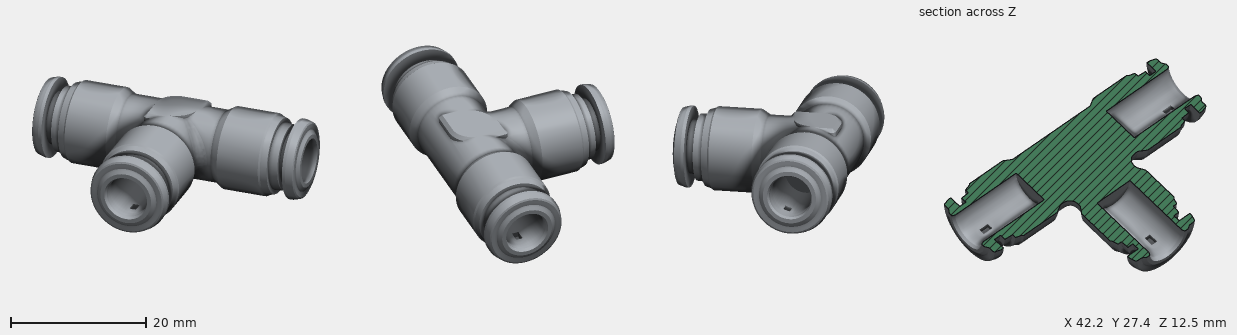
import cadquery as cq
import math

arm_length = 21.1
tube_radius = 5.5
junction_fillet = 1.48

body_radius = 6.25
shoulder_start = 7.5
shoulder_end = 8.78
body_end = 15.28

cap_bevel_end = 15.55
cap_root_radius = 6.05
cap_tip_radius = 5.75
cap_end = 16.5

guide_root_radius = 5.05
guide_tip_radius = 5.0
guide_straight_end = 16.65
guide_end = 17.9

neck_radius = 4.0
flange_start = 19.05
flange_straight_end = 19.55
flange_taper_end = 20.55
flange_end = 20.68
flange_radius = 6.08
flange_tip_radius = 5.8
flange_face_radius = 5.53
lip_root_radius = 4.7
lip_tip_radius = neck_radius

bore_radius = 3.15
mouth_radius = 3.38
mouth_depth = 0.5
bore_floor = shoulder_end

slit_width = 1.0
slit_start = cap_end
slit_end = 18.15
sleeve_turn = 18.5

pad_top = tube_radius
pad_radius = 3.55
pad_reach = 4.47
pad_chamfer = 0.5
pad_corner_radius = 0.55

select_margin = 0.05

full_turn = 360


def revolve_about_x(points):
    """Solid of revolution from (station, radius) points."""
    return cq.Workplane("XY").polyline(points).close().revolve(full_turn, (0, 0, 0), (1, 0, 0))


def make_fitting():
    """Outside of one arm's end fitting, along +X."""
    return revolve_about_x([
        (shoulder_start, 0),
        (shoulder_start, tube_radius),
        (shoulder_end, body_radius),
        (body_end, body_radius),
        (cap_bevel_end, cap_root_radius),
        (cap_end, cap_tip_radius),
        (cap_end, guide_root_radius),
        (guide_straight_end, guide_root_radius),
        (guide_end, guide_tip_radius),
        (guide_end, neck_radius),
        (flange_start, neck_radius),
        (flange_start, flange_radius),
        (flange_straight_end, flange_radius),
        (flange_taper_end, flange_tip_radius),
        (flange_end, flange_face_radius),
        (flange_end, lip_root_radius),
        (arm_length, lip_tip_radius),
        (arm_length, 0),
    ])


def make_cavity(turn):
    """Bore and neck slits of one arm, along +X, turned about the arm axis."""
    bore = revolve_about_x([
        (bore_floor, 0),
        (bore_floor, bore_radius),
        (arm_length - mouth_depth, bore_radius),
        (arm_length, mouth_radius),
        (arm_length, 0),
    ])
    slit_length = slit_end - slit_start
    neck = cq.Workplane("YZ", origin=(slit_start, 0, 0)).circle(neck_radius).extrude(slit_length)
    slit_slab = cq.Workplane("XY").box(2 * arm_length, slit_width, 2 * neck_radius)
    slits = slit_slab.intersect(neck)
    return bore.union(slits).rotate((0, 0, 0), (1, 0, 0), turn)


def make_junction():
    """Plain tee of equal tubes with rounded inside corners."""
    run = cq.Workplane("YZ").circle(tube_radius).extrude(shoulder_start, both=True)
    branch = cq.Workplane("XZ").circle(tube_radius).extrude(shoulder_start)
    tee = run.union(branch)
    seam_box = cq.selectors.BoxSelector(
        (-tube_radius, -tube_radius, -tube_radius),
        (tube_radius, -select_margin, tube_radius),
    )
    return tee.edges(seam_box).fillet(junction_fillet)


def make_pad():
    """Pad outlined by two opposite quarter circles and two opposite square corners.

    The quarter circle facing +X and -Y stays sharp; every other outer top edge is chamfered.
    """
    arc_middle = pad_radius / math.sqrt(2)
    block = (
        cq.Workplane("XY")
        .lineTo(0, -pad_reach)
        .lineTo(-pad_radius, -pad_reach)
        .lineTo(-pad_radius, 0)
        .threePointArc((-arc_middle, arc_middle), (0, pad_radius))
        .lineTo(pad_reach, pad_radius)
        .lineTo(pad_reach, 0)
        .close()
        .extrude(pad_top)
    )
    for corner in ((-pad_radius, -pad_reach), (pad_reach, pad_radius)):
        corner_edge = cq.selectors.NearestToPointSelector((*corner, pad_top / 2))
        block = block.edges(corner_edge).fillet(pad_corner_radius)

    inner_legs = cq.selectors.BoxSelector(
        (-select_margin, -pad_reach, 0),
        (pad_reach, select_margin, pad_top + select_margin),
    )
    outer_edges = block.faces(">Z").edges(cq.selectors.InverseSelector(inner_legs))
    block = outer_edges.chamfer(pad_chamfer)

    quarter_disc = (
        cq.Workplane("XY")
        .lineTo(pad_radius, 0)
        .threePointArc((arc_middle, -arc_middle), (0, -pad_radius))
        .close()
        .extrude(pad_top)
    )
    return block.union(quarter_disc)


result = make_junction().union(make_pad())

for direction, turn in ((0, -sleeve_turn), (180, 0), (-90, 0)):
    fitting = make_fitting().cut(make_cavity(turn))
    result = result.union(fitting.rotate((0, 0, 0), (0, 0, 1), direction))